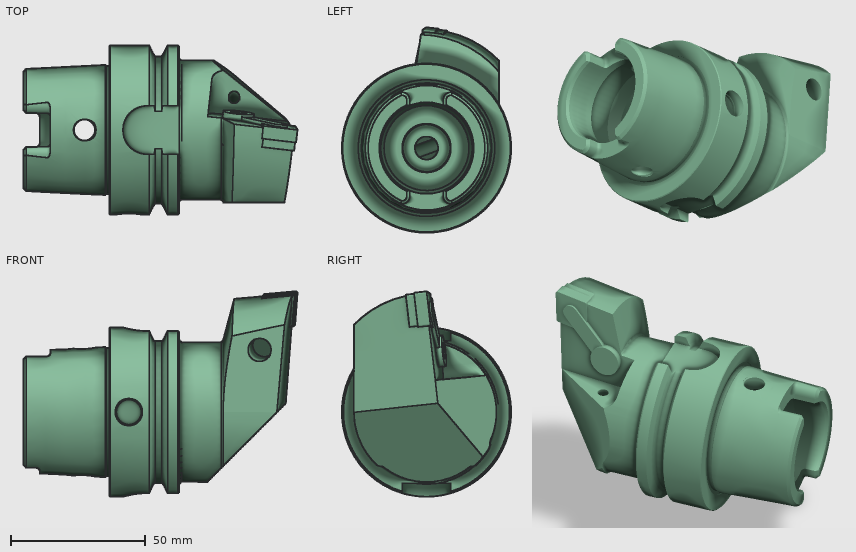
import cadquery as cq
import math


SHANK_END_X = -32.0
SHANK_GAUGE_RADIUS = 24.32
TAPER_SLOPE = 0.05
SHANK_CHAMFER = 1.0
RELIEF_LENGTH = 1.6
RELIEF_DEPTH = 0.35
FACE_GROOVE_RADIUS = 25.4
FACE_GROOVE_DEPTH = 0.3

FLANGE_RADIUS = 31.5
FLANGE_WIDTH = 26.0
FLANGE_CHAMFER = 0.6
GRIP_GROOVE_X = 18.15
GRIP_GROOVE_HALF_MOUTH = 3.45
GRIP_GROOVE_HALF_WAIST = 2.0
GRIP_GROOVE_HALF_FLOOR = 1.2
GRIP_GROOVE_WAIST_RADIUS = 28.6
GRIP_GROOVE_FLOOR_RADIUS = 27.4

NECK_RADIUS = 26.0
NECK_FILLET = 0.8
HEAD_FILLET = 1.04
HEAD_RADIUS = 27.0
HEAD_X = 41.5
HEAD_BACK_ANGLE = 15.0
HEAD_REACH = 50.0

TIP = (70.0, 0.0, 45.0)
RAKE_TILT = 0.108
LEAD_ANGLE = 5.0
CORNER_ANGLE = 80.0
INSERT_EDGE = 12.9
INSERT_THICKNESS = 4.76
INSERT_NOSE = 0.8
SHIM_THICKNESS = 3.2
SHIM_INSET = 0.35
RAKE_RECESS = 0.7
BODY_INSET = 1.2
CROWN_RADIUS = 39.0
CROWN_CENTRE = (46.4, 3.1, 3.0)

BIG = 120.0

rake = cq.Plane(origin=TIP, xDir=(1, -RAKE_TILT, 0), normal=(-RAKE_TILT, -1, -RAKE_TILT))


def rake_plane(depth=0.0):
    """Plane parallel to the rake face, `depth` below the insert's top."""
    return cq.Workplane(rake).workplane(offset=depth)


def polar(angle, length):
    return (length * math.cos(math.radians(angle)), length * math.sin(math.radians(angle)))


TOP_EDGE_ANGLE = 180 + LEAD_ANGLE
SIDE_EDGE_ANGLE = TOP_EDGE_ANGLE + CORNER_ANGLE
BISECTOR_ANGLE = TOP_EDGE_ANGLE + CORNER_ANGLE / 2
HALF_DIAGONAL = INSERT_EDGE * math.cos(math.radians(CORNER_ANGLE / 2))


def rhombus(depth, thickness, inset=0.0):
    """Diamond plate below the rake, its flanks drawn in by `inset`."""
    side = INSERT_EDGE - 2 * inset / math.sin(math.radians(CORNER_ANGLE))
    corner = polar(BISECTOR_ANGLE, inset / math.sin(math.radians(CORNER_ANGLE / 2)))
    top = polar(TOP_EDGE_ANGLE, side)
    flank = polar(SIDE_EDGE_ANGLE, side)
    points = [
        corner,
        (corner[0] + top[0], corner[1] + top[1]),
        (corner[0] + top[0] + flank[0], corner[1] + top[1] + flank[1]),
        (corner[0] + flank[0], corner[1] + flank[1]),
    ]
    plate = rake_plane(depth).polyline(points).close().extrude(thickness)
    along = cq.Vector(*rake.zDir.toTuple())
    return plate.edges(cq.selectors.ParallelDirSelector(along)).fillet(INSERT_NOSE)


def taper_radius(x):
    return SHANK_GAUGE_RADIUS + TAPER_SLOPE * x


def turned_body():
    relief_radius = taper_radius(-RELIEF_LENGTH) - RELIEF_DEPTH
    cone_slope = math.tan(math.radians(HEAD_BACK_ANGLE))
    cone_start_x = HEAD_X + NECK_FILLET
    head_end_x = TIP[0] + 5
    profile = (
        cq.Workplane("XY")
        .moveTo(SHANK_END_X, 0)
        .lineTo(SHANK_END_X, taper_radius(SHANK_END_X) - SHANK_CHAMFER)
        .lineTo(SHANK_END_X + SHANK_CHAMFER, taper_radius(SHANK_END_X + SHANK_CHAMFER))
        .lineTo(-RELIEF_LENGTH, taper_radius(-RELIEF_LENGTH))
        .lineTo(-RELIEF_LENGTH + RELIEF_DEPTH, relief_radius)
        .lineTo(FACE_GROOVE_DEPTH, relief_radius)
        .lineTo(FACE_GROOVE_DEPTH, FACE_GROOVE_RADIUS)
        .lineTo(0, FACE_GROOVE_RADIUS)
        .lineTo(0, FLANGE_RADIUS - FACE_GROOVE_DEPTH)
        .lineTo(FACE_GROOVE_DEPTH, FLANGE_RADIUS)
        .lineTo(GRIP_GROOVE_X - GRIP_GROOVE_HALF_MOUTH, FLANGE_RADIUS)
        .lineTo(GRIP_GROOVE_X - GRIP_GROOVE_HALF_WAIST, GRIP_GROOVE_WAIST_RADIUS)
        .lineTo(GRIP_GROOVE_X - GRIP_GROOVE_HALF_FLOOR, GRIP_GROOVE_FLOOR_RADIUS)
        .lineTo(GRIP_GROOVE_X + GRIP_GROOVE_HALF_FLOOR, GRIP_GROOVE_FLOOR_RADIUS)
        .lineTo(GRIP_GROOVE_X + GRIP_GROOVE_HALF_WAIST, GRIP_GROOVE_WAIST_RADIUS)
        .lineTo(GRIP_GROOVE_X + GRIP_GROOVE_HALF_MOUTH, FLANGE_RADIUS)
        .lineTo(FLANGE_WIDTH - FLANGE_CHAMFER, FLANGE_RADIUS)
        .lineTo(FLANGE_WIDTH, FLANGE_RADIUS - FLANGE_CHAMFER)
        .lineTo(FLANGE_WIDTH, NECK_RADIUS + NECK_FILLET)
        .radiusArc((FLANGE_WIDTH + NECK_FILLET, NECK_RADIUS), -NECK_FILLET)
        .lineTo(HEAD_X, NECK_RADIUS)
        .radiusArc((cone_start_x, HEAD_RADIUS), -HEAD_FILLET)
        .lineTo(cone_start_x + cone_slope * (HEAD_REACH - HEAD_RADIUS), HEAD_REACH)
        .lineTo(head_end_x, HEAD_REACH)
        .lineTo(head_end_x, 0)
        .close()
    )
    return profile.revolve(360, (0, 0, 0), (1, 0, 0))


UNDERCUT_SUM = 62.3
DIAGONAL_START = (38.4, 26.0, 0.0)
DIAGONAL_DIRECTION = (26.1, -20.8, 0.0)
DIAGONAL_LEAN = 1.2
POCKET_WALL_U = -33.8
POCKET_FLOOR_V = -33.2
POCKET_RADIUS = 4.8
POCKET_MOUTH_HEIGHT = 60.0


def head_section():
    """Everything the head may fill: a round lower half with one flat side, and a round crown."""
    length = TIP[0] + 10 - HEAD_X
    start = cq.Workplane("YZ", origin=(HEAD_X, 0, 0))
    lower = start.circle(HEAD_RADIUS).extrude(length)
    upper_width = 2 * HEAD_RADIUS
    upper = start.center(0, HEAD_REACH / 2).rect(upper_width, HEAD_REACH).extrude(length)
    top_edge = rake.toWorldCoords(polar(TOP_EDGE_ANGLE, 1)) - cq.Vector(*TIP)
    crown_axis = top_edge * -1
    crown_start = cq.Vector(*CROWN_CENTRE) - crown_axis * (BIG / 2)
    crown = cq.Workplane(cq.Solid.makeCylinder(CROWN_RADIUS, BIG, crown_start, crown_axis))
    return lower.union(upper.intersect(crown))


def beyond_end_face():
    """Material past the end face, which runs parallel to the insert's side edge."""
    corner = polar(TOP_EDGE_ANGLE, BODY_INSET)
    down = polar(SIDE_EDGE_ANGLE, BIG)
    points = [
        (corner[0] - down[0], corner[1] - down[1]),
        (corner[0] + down[0], corner[1] + down[1]),
        (BIG, down[1]),
        (BIG, -down[1]),
    ]
    return rake_plane(-BIG).polyline(points).close().extrude(2 * BIG)


def below_undercut():
    plane = cq.Plane(origin=(UNDERCUT_SUM, 0, 0), xDir=(0, 1, 0), normal=(1, 0, -1))
    return cq.Workplane(plane).rect(BIG, BIG).extrude(BIG)


def behind_diagonal():
    along_x, along_y, _ = DIAGONAL_DIRECTION
    normal = (-along_y, along_x, DIAGONAL_LEAN)
    plane = cq.Plane(origin=DIAGONAL_START, xDir=DIAGONAL_DIRECTION, normal=normal)
    return cq.Workplane(plane).rect(BIG, BIG).extrude(BIG)


def chip_pocket():
    """Open space in front of the rake face, with a rounded corner between its wall and floor."""
    return (
        rake_plane(RAKE_RECESS)
        .moveTo(POCKET_WALL_U, POCKET_MOUTH_HEIGHT)
        .lineTo(POCKET_WALL_U, POCKET_FLOOR_V + POCKET_RADIUS)
        .radiusArc((POCKET_WALL_U + POCKET_RADIUS, POCKET_FLOOR_V), -POCKET_RADIUS)
        .lineTo(BIG, POCKET_FLOOR_V)
        .lineTo(BIG, POCKET_MOUTH_HEIGHT)
        .close()
        .extrude(-BIG)
    )


BORE_MOUTH_CHAMFER = 0.6
BORE_MOUTH_LENGTH = 1.2
BORE_RADIUS = 17.0
BORE_LAND_END_X = -18.7
BORE_GROOVE_RADIUS = 18.5
BORE_GROOVE_END_X = -8.0
BORE_BOTTOM_RADIUS = 15.8
BORE_BOTTOM_X = -4.0
TUBE_SEAT_RADIUS = 8.8
TUBE_SEAT_CHAMFER = 0.3
TUBE_SEAT_END_X = 6.0
COOLANT_RADIUS = 4.3
COOLANT_END_X = 22.0


def shank_bore():
    profile = (
        cq.Workplane("XY")
        .moveTo(SHANK_END_X, 0)
        .lineTo(SHANK_END_X, BORE_RADIUS + BORE_MOUTH_CHAMFER)
        .lineTo(SHANK_END_X + BORE_MOUTH_LENGTH, BORE_RADIUS)
        .lineTo(BORE_LAND_END_X, BORE_RADIUS)
        .lineTo(BORE_LAND_END_X, BORE_GROOVE_RADIUS)
        .lineTo(BORE_GROOVE_END_X, BORE_GROOVE_RADIUS)
        .lineTo(BORE_BOTTOM_X, BORE_BOTTOM_RADIUS)
        .lineTo(BORE_BOTTOM_X, TUBE_SEAT_RADIUS + TUBE_SEAT_CHAMFER)
        .lineTo(BORE_BOTTOM_X + TUBE_SEAT_CHAMFER, TUBE_SEAT_RADIUS)
        .lineTo(TUBE_SEAT_END_X, TUBE_SEAT_RADIUS)
        .lineTo(TUBE_SEAT_END_X, COOLANT_RADIUS)
        .lineTo(COOLANT_END_X, COOLANT_RADIUS)
        .lineTo(COOLANT_END_X, 0)
        .close()
    )
    return profile.revolve(360, (0, 0, 0), (1, 0, 0))


SLOT_HALF_WIDTH = 6.25
SLOT_FLARE = 2.85
SLOT_FLARE_TOP = 20.75
SLOT_OUTER_HALF_WIDTH = 15.0
SLOT_END_FILLET = 1.3
SLOT_MOUTH_CHAMFER = 1.1
TOP_SLOT_DEPTH = 10.0
BOTTOM_SLOT_DEPTH = 6.0


def slot_outline(x, grow):
    """Cross section of a +Z drive slot at `x`, with its walls set back by `grow`."""
    half_width = SLOT_HALF_WIDTH + grow
    flare_top = SLOT_FLARE_TOP - grow
    flare_radius = SLOT_FLARE - grow
    flare_start = flare_top - flare_radius
    flare_width = half_width + flare_radius
    return (
        cq.Workplane("YZ", origin=(x, 0, 0))
        .moveTo(-half_width, 0)
        .lineTo(-half_width, flare_start)
        .radiusArc((-flare_width, flare_top), -flare_radius)
        .lineTo(-SLOT_OUTER_HALF_WIDTH, flare_top)
        .lineTo(-SLOT_OUTER_HALF_WIDTH, HEAD_RADIUS)
        .lineTo(SLOT_OUTER_HALF_WIDTH, HEAD_RADIUS)
        .lineTo(SLOT_OUTER_HALF_WIDTH, flare_top)
        .lineTo(flare_width, flare_top)
        .radiusArc((half_width, flare_start), -flare_radius)
        .lineTo(half_width, 0)
        .close()
    )


def drive_slot(depth):
    """Open slot in the shank's +Z wall, with a chamfered mouth and a filleted end."""
    slot = slot_outline(SHANK_END_X, 0).extrude(depth).faces(">X").edges().fillet(SLOT_END_FILLET)
    wide = slot_outline(SHANK_END_X, SLOT_MOUTH_CHAMFER).wires().val()
    narrow = slot_outline(SHANK_END_X + SLOT_MOUTH_CHAMFER, 0).wires().val()
    return slot.union(cq.Workplane(cq.Solid.makeLoft([wide, narrow], True)))


KEYWAY_WIDTH = 18.0
KEYWAY_START_X = 5.0
KEYWAY_FLOOR = 26.5
ACCESS_HOLE_X = -9.3
ACCESS_HOLE_DIAMETER = 7.8
ACCESS_HOLE_CHAMFER = 0.4
CHIP_HOLE_X = 7.2
CHIP_HOLE_DIAMETER = 9.3
CHIP_HOLE_DEPTH = 5.0
CHIP_MOUTH_DIAMETER = 10.1
CHIP_MOUTH_DEPTH = 4.2
SIDE_HOLE_X = 55.8
SIDE_HOLE_Z = 23.1
SIDE_HOLE_DIAMETER = 8.5
SIDE_HOLE_DEPTH = 16.0
JET_HOLE_X = 46.3
JET_HOLE_Y = 12.1
JET_HOLE_DIAMETER = 4.1
JET_HOLE_Z = 12.5
JET_HOLE_LENGTH = 32.0
JET_HOLE_LEAN = 20.0
CHANNEL_DIAMETER = 4.6
CHANNEL_LENGTH = 24.0
CHANNEL_ANGLE = 20.0


def keyway(side):
    """Round ended keyway in the flange, open towards the neck."""
    radius = KEYWAY_WIDTH / 2
    centre_x = KEYWAY_START_X + radius
    start = cq.Workplane("XY", origin=(0, 0, side * KEYWAY_FLOOR))
    height = side * (HEAD_REACH - KEYWAY_FLOOR)
    length = FLANGE_WIDTH - centre_x
    straight = start.center(centre_x + length / 2, 0).rect(length, KEYWAY_WIDTH).extrude(height)
    return start.center(centre_x, 0).circle(radius).extrude(height).union(straight)


def access_holes():
    """Radial hole through both shank walls, with chamfered mouths."""
    hole_radius = ACCESS_HOLE_DIAMETER / 2
    mouth = taper_radius(ACCESS_HOLE_X)
    sink_radius = hole_radius + ACCESS_HOLE_CHAMFER
    cutter = (
        cq.Workplane("XZ", origin=(ACCESS_HOLE_X, 0, 0))
        .moveTo(0, -FLANGE_RADIUS)
        .lineTo(sink_radius, -FLANGE_RADIUS)
        .lineTo(sink_radius, -mouth)
        .lineTo(hole_radius, -mouth + ACCESS_HOLE_CHAMFER)
        .lineTo(hole_radius, mouth - ACCESS_HOLE_CHAMFER)
        .lineTo(sink_radius, mouth)
        .lineTo(sink_radius, FLANGE_RADIUS)
        .lineTo(0, FLANGE_RADIUS)
        .close()
    )
    return cutter.revolve(360, (0, 0, 0), (0, 1, 0))


def chip_hole():
    """Stepped, flat bottomed data chip hole in the flange rim."""
    rim = cq.Workplane("XZ", origin=(CHIP_HOLE_X, -FLANGE_RADIUS, 0))
    hole = rim.circle(CHIP_HOLE_DIAMETER / 2).extrude(-CHIP_HOLE_DEPTH)
    mouth = rim.circle(CHIP_MOUTH_DIAMETER / 2).extrude(-CHIP_MOUTH_DEPTH)
    return hole.union(mouth)


def side_hole():
    """Hole in the head's flat side, square to the rake face."""
    mouth = cq.Vector(SIDE_HOLE_X, -HEAD_RADIUS, SIDE_HOLE_Z)
    start = mouth + rake.zDir * SIDE_HOLE_DIAMETER
    length = SIDE_HOLE_DEPTH + SIDE_HOLE_DIAMETER
    return cq.Workplane(cq.Solid.makeCylinder(SIDE_HOLE_DIAMETER / 2, length, start, rake.zDir * -1))


def jet_hole():
    """Coolant outlet in the floor of the chip pocket, leaning towards the spindle axis."""
    outlet = (
        cq.Workplane("XY")
        .circle(JET_HOLE_DIAMETER / 2)
        .extrude(JET_HOLE_LENGTH / 2, both=True)
        .rotate((0, 0, 0), (1, 0, 0), -JET_HOLE_LEAN)
    )
    return outlet.translate((JET_HOLE_X, JET_HOLE_Y, JET_HOLE_Z))


def cross_channel():
    """Inclined channel across the end of the coolant bore."""
    channel = (
        cq.Workplane("XZ", origin=(COOLANT_END_X, 0, 0))
        .circle(CHANNEL_DIAMETER / 2)
        .extrude(CHANNEL_LENGTH / 2, both=True)
    )
    return channel.rotate((0, 0, 0), (1, 0, 0), -CHANNEL_ANGLE)


CLAMP_HALF_WIDTH = 5.8
CLAMP_THICKNESS = 2.4
CLAMP_NOSE_HALF_WIDTH = 3.0
CLAMP_NOSE_THICKNESS = 0.8
CLAMP_REACH = 22.0
CLAMP_SCREW_DIAMETER = 6.0
CLAMP_SCREW_DEPTH = 12.0
CLAMP_CENTRE = polar(BISECTOR_ANGLE, HALF_DIAGONAL + CLAMP_REACH)


def clamp_screw():
    length = CLAMP_SCREW_DEPTH + CLAMP_THICKNESS
    start = rake_plane(RAKE_RECESS - CLAMP_THICKNESS).center(*CLAMP_CENTRE)
    return start.circle(CLAMP_SCREW_DIAMETER / 2).extrude(length)


def clamp():
    """Clamp pad on the rake face, with a thin nose over the insert."""
    pad = (
        rake_plane(RAKE_RECESS)
        .center(*CLAMP_CENTRE)
        .circle(CLAMP_HALF_WIDTH)
        .extrude(-CLAMP_THICKNESS)
    )
    nose = (
        rake_plane(RAKE_RECESS)
        .center(*polar(BISECTOR_ANGLE, HALF_DIAGONAL + CLAMP_REACH / 2))
        .transformed(rotate=(0, 0, BISECTOR_ANGLE))
        .slot2D(CLAMP_REACH + 2 * CLAMP_NOSE_HALF_WIDTH, 2 * CLAMP_NOSE_HALF_WIDTH)
        .extrude(-RAKE_RECESS - CLAMP_NOSE_THICKNESS)
    )
    return pad.union(nose)


insert = rhombus(0, INSERT_THICKNESS)
shim = rhombus(INSERT_THICKNESS, SHIM_THICKNESS, SHIM_INSET)
screw = clamp_screw()
clamp_bar = clamp().cut(insert).cut(screw)

body = turned_body()
shank = body.intersect(cq.Workplane("YZ", origin=(HEAD_X, 0, 0)).circle(HEAD_REACH).extrude(-BIG))
head = body.intersect(head_section())
holder = shank.union(head)
holder = holder.cut(beyond_end_face()).cut(below_undercut()).cut(behind_diagonal()).cut(chip_pocket())
holder = holder.cut(shank_bore())
holder = holder.cut(drive_slot(TOP_SLOT_DEPTH))
holder = holder.cut(drive_slot(BOTTOM_SLOT_DEPTH).mirror("XY"))
for keyway_side in (1, -1):
    holder = holder.cut(keyway(keyway_side))
for hole in (access_holes(), chip_hole(), side_hole(), jet_hole(), cross_channel()):
    holder = holder.cut(hole)
for fitted in (insert, shim, screw):
    holder = holder.cut(fitted)

result = cq.Compound.makeCompound([
    holder.val(),
    insert.val(),
    shim.val(),
    clamp_bar.val(),
    screw.val(),
])